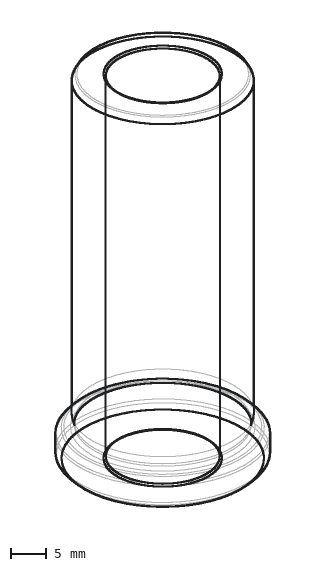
import cadquery as cq
import math

total_height = 61.0
flange_diameter = 30.0
flange_height = 5.0
body_diameter = 25.4
bore_diameter = 15.88

flange_top_chamfer = 1.0
flange_top_edge_radius = 0.5
flange_bottom_chamfer = 0.9
flange_bottom_edge_radius = 0.7
lead_height = 1.0
lead_angle = 30.0
lead_edge_radius = 0.3
bore_chamfer = 0.3

neck_diameter = 24.7
neck_relief_top = 7.2
neck_taper_angle = 15.0
neck_corner_radius = 0.5

flange_radius = flange_diameter / 2
body_radius = body_diameter / 2
bore_radius = bore_diameter / 2
neck_radius = neck_diameter / 2


def tangent(angle):
    return math.tan(math.radians(angle))


def ring_edges(solid, radius, height):
    """Circular edges of the given radius that lie at the given height."""
    tolerance = 0.01
    corner = radius + tolerance
    candidates = solid.edges(
        cq.selectors.BoxSelector(
            (-corner, -corner, height - tolerance),
            (corner, corner, height + tolerance),
            boundingbox=True,
        )
    )
    return candidates.filter(
        lambda edge: edge.geomType() == "CIRCLE" and abs(edge.radius() - radius) < tolerance
    )


def make_flange():
    """Flange disc chamfered on both faces, with a sharp bottom edge and rounded edges above it."""
    flange = cq.Workplane("XY").circle(flange_radius).extrude(flange_height)
    flange = flange.faces(">Z").edges().chamfer(flange_top_chamfer)
    flange = flange.faces("<Z").edges().chamfer(flange_bottom_chamfer)
    flange = ring_edges(flange, flange_radius, flange_bottom_chamfer).fillet(flange_bottom_edge_radius)
    upper_chamfer_start = flange_height - flange_top_chamfer
    flange = ring_edges(flange, flange_radius, upper_chamfer_start).fillet(flange_top_edge_radius)
    return flange.faces(">Z").edges().fillet(flange_top_edge_radius)


def make_body():
    """Body above the flange, with a tapered relief neck below and a lead-in cone on top."""
    neck_top = neck_relief_top - (body_radius - neck_radius) / tangent(neck_taper_angle)
    lead_radius = body_radius - lead_height * tangent(lead_angle)
    body = (
        cq.Workplane("XZ")
        .moveTo(0, flange_height)
        .lineTo(neck_radius, flange_height)
        .lineTo(neck_radius, neck_top)
        .lineTo(body_radius, neck_relief_top)
        .lineTo(body_radius, total_height - lead_height)
        .lineTo(lead_radius, total_height)
        .lineTo(0, total_height)
        .close()
        .revolve(360, (0, 0, 0), (0, 1, 0))
    )
    return body.faces(">Z").edges().fillet(lead_edge_radius)


def round_neck_corner(solid):
    """Fillet the inside corner between the neck and the flange face."""
    return ring_edges(solid, neck_radius, flange_height).fillet(neck_corner_radius)


def cut_bore(solid):
    """Through bore along the axis, chamfered at both mouths."""
    mouth_radius = bore_radius + bore_chamfer
    bore = (
        cq.Workplane("XZ")
        .lineTo(mouth_radius, 0)
        .lineTo(bore_radius, bore_chamfer)
        .lineTo(bore_radius, total_height - bore_chamfer)
        .lineTo(mouth_radius, total_height)
        .lineTo(0, total_height)
        .close()
        .revolve(360, (0, 0, 0), (0, 1, 0))
    )
    return solid.cut(bore)


bushing = make_flange().union(make_body())
bushing = round_neck_corner(bushing)
result = cut_bore(bushing)